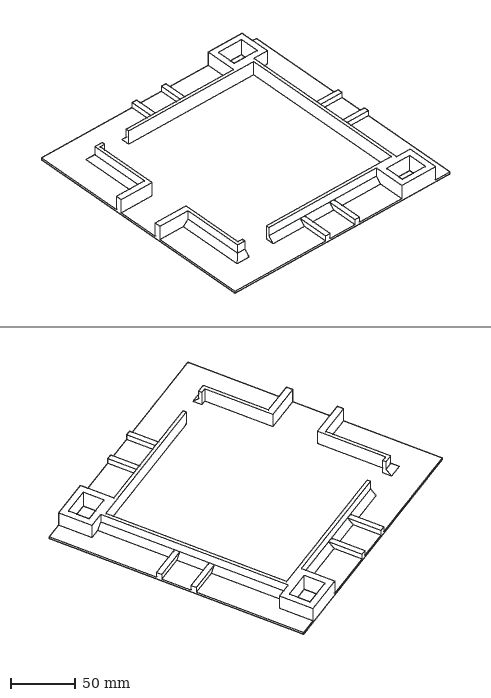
import cadquery as cq

plate_x = 225
plate_y = 224.3
plate_thickness = 2.0
total_height = 15.0
half_x = plate_x / 2
half_y = plate_y / 2
wall_height = total_height - plate_thickness

room_side = 160.0
wall_thickness = 3.0
room_half = room_side / 2
wall_outer_side = room_side + 2 * wall_thickness
wall_outer_half = wall_outer_side / 2
skirt_size = 5.0
skirt_angle = 45

side_opening_width = 25.0
side_opening_from_room_front = 4.7
door_width = 39.4
door_jamb_thickness = 5.6

tower_y = 35.3
tower_back_margin = 15.0
tower_wall = 5.6

rib_width = 4.7
rib_height = skirt_size
rib_gap = 25.9
rib_offset = (rib_gap + rib_width) / 2


def block(x_min, x_max, y_min, y_max, height, z_min=plate_thickness):
    """Upright block given by its plan limits, by default standing on the plate."""
    return (
        cq.Workplane("XY")
        .box(x_max - x_min, y_max - y_min, height, centered=False)
        .translate((x_min, y_min, z_min))
    )


def enclosure():
    """Four walls and their skirt, open at the door and at both sides."""
    on_plate = cq.Workplane("XY").workplane(offset=plate_thickness)
    walls = on_plate.rect(wall_outer_side, wall_outer_side).extrude(wall_height)
    skirt_side = wall_outer_side + 2 * skirt_size
    skirt = on_plate.rect(skirt_side, skirt_side).extrude(skirt_size, taper=skirt_angle)
    room = block(-room_half, room_half, -room_half, room_half, wall_height)
    door = block(-door_width / 2, door_width / 2, -half_y, 0, wall_height)
    opening_front = -room_half + side_opening_from_room_front
    opening_back = opening_front + side_opening_width
    side_openings = block(-half_x, half_x, opening_front, opening_back, wall_height)
    return walls.union(skirt).cut(room).cut(door).cut(side_openings)


def tower_shaft(side, inset, height, z_min):
    """Tower outline, inset on all four sides, at the left (-1) or right (+1) back corner."""
    x_edges = sorted((side * (wall_outer_half + inset), side * (half_x - inset)))
    y_back = half_y - tower_back_margin
    return block(*x_edges, y_back - tower_y + inset, y_back - inset, height, z_min)


result = cq.Workplane("XY").box(plate_x, plate_y, plate_thickness, centered=(True, True, False))
result = result.union(enclosure())

for side in (-1, 1):
    jamb_edges = sorted((side * door_width / 2, side * (door_width / 2 + door_jamb_thickness)))
    result = result.union(block(*jamb_edges, -half_y, -room_half, wall_height))

    rib_min = side * rib_offset - rib_width / 2
    rib_max = rib_min + rib_width
    result = result.union(block(rib_min, rib_max, wall_outer_half, half_y, rib_height))

    rib_ends = sorted((side * wall_outer_half, side * half_x))
    for position in (-1, 1):
        rib_min = position * rib_offset - rib_width / 2
        rib_max = rib_min + rib_width
        result = result.union(block(*rib_ends, rib_min, rib_max, rib_height))

    result = result.union(tower_shaft(side, 0, wall_height, plate_thickness))
    result = result.cut(tower_shaft(side, tower_wall, total_height, 0))